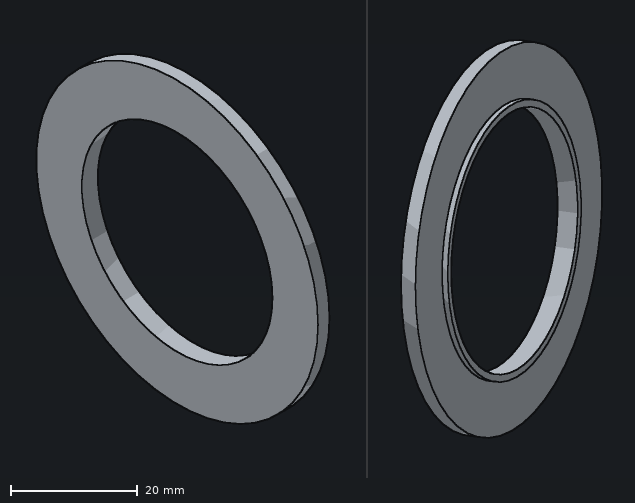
import cadquery as cq

outer_diameter = 63.0
bore_diameter = 42.6
spigot_diameter = 45.0
total_thickness = 3.6
spigot_height = 1.0
flange_thickness = total_thickness - spigot_height


def disc(diameter, start_y, length):
    """Solid disc on the Y axis, from start_y towards +Y."""
    plane = cq.Workplane("XZ", origin=(0, start_y, 0))
    return plane.circle(diameter / 2).extrude(-length)


flange = disc(outer_diameter, 0, flange_thickness)
spigot = disc(spigot_diameter, flange_thickness, spigot_height)
bore = disc(bore_diameter, 0, total_thickness)

result = flange.union(spigot).cut(bore)